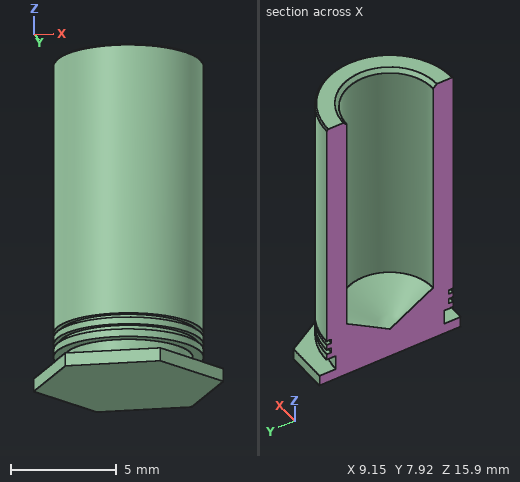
import cadquery as cq
import math

total_height = 15.88
hex_across_flats = 7.92
hex_across_corners = hex_across_flats / math.cos(math.radians(30))
head_height = 0.64

body_diameter = 7.11
neck_diameter = 6.1
groove_diameter = 6.6
neck_top = 1.43
grooves = [(1.8, 2.05), (2.38, 2.59)]
groove_cutter_clearance = 0.16
rim_chamfer = 0.08

bore_diameter = 4.83
mouth_diameter = 5.22
mouth_depth = 0.2
bore_depth = 12.7
drill_tip_angle = 118.0


def make_head():
    return cq.Workplane("XY").polygon(6, hex_across_corners).extrude(head_height)


def make_body():
    neck = cq.Workplane("XY").circle(neck_diameter / 2).extrude(neck_top)
    sleeve = (
        cq.Workplane("XY")
        .workplane(offset=neck_top)
        .circle(body_diameter / 2)
        .extrude(total_height - neck_top)
        .faces(">Z")
        .edges()
        .chamfer(rim_chamfer)
    )
    return neck.union(sleeve)


def make_groove(bottom, top):
    return (
        cq.Workplane("XY")
        .workplane(offset=bottom)
        .circle(body_diameter / 2 + groove_cutter_clearance)
        .circle(groove_diameter / 2)
        .extrude(top - bottom)
    )


def make_bore():
    bore_radius = bore_diameter / 2
    bore_bottom = total_height - bore_depth
    tip_depth = bore_radius / math.tan(math.radians(drill_tip_angle / 2))
    return (
        cq.Workplane("XZ")
        .moveTo(0, total_height)
        .lineTo(mouth_diameter / 2, total_height)
        .lineTo(bore_radius, total_height - mouth_depth)
        .lineTo(bore_radius, bore_bottom)
        .lineTo(0, bore_bottom - tip_depth)
        .close()
        .revolve(360, (0, 0, 0), (0, 1, 0))
    )


result = make_head().union(make_body())
for groove_bottom, groove_top in grooves:
    result = result.cut(make_groove(groove_bottom, groove_top))
result = result.cut(make_bore())